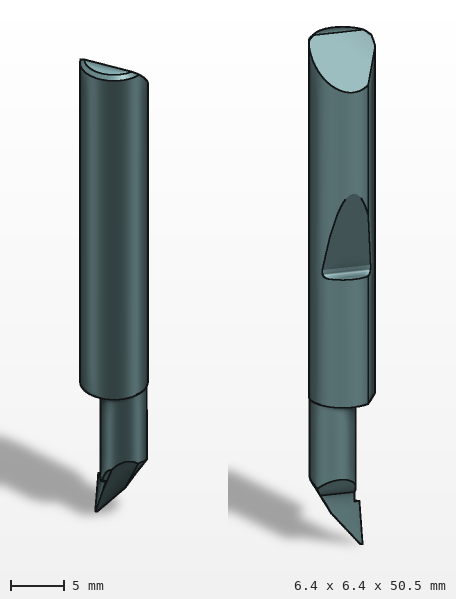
import cadquery as cq
import math

total_length = 50.45
shank_radius = 3.2
shank_bottom = 14.85
top_chamfer = 0.4
neck_radius = 2.15
neck_x = shank_radius - neck_radius

bevel_start_y = -1.25

flat_angle = 150.0
flat_distance = shank_radius * math.cos(math.radians(30))

notch_bottom = 27.5
notch_top = 35.95
notch_floor_y = 1.8
notch_floor_z = 28.25
notch_fillet = 0.5

tip_top = 4.3
tip_left = -2.0
ramp_start = 1.15
rake_relief_z = 5.25
edge_start_x = -1.7
edge_slope = 1.184
edge_clearance = 1.64
heel_x = 1.15
heel_slope = 1.73
heel_clearance = 0.6
back_offset = 0.2
back_slope = 0.3
side_left_x = -1.95
side_slope = 0.073
side_clearance = 0.94

cutter_size = 3 * shank_radius
cutter_depth = 2 * total_length


def beyond(point, normal):
    """Large block filling the side of a plane that its outward normal points to."""
    plane = cq.Plane(origin=point, normal=normal)
    return cq.Workplane(plane).rect(cutter_depth, cutter_depth).extrude(cutter_depth)


def make_shank():
    length = total_length - shank_bottom
    shank = cq.Workplane("XY", origin=(0, 0, shank_bottom)).circle(shank_radius).extrude(length)
    shank = shank.faces(">Z").chamfer(top_chamfer)

    shank = shank.cut(beyond((0, bevel_start_y, total_length), (0, 1, 1)))

    normal_x = math.cos(math.radians(flat_angle))
    normal_y = math.sin(math.radians(flat_angle))
    flat_point = (flat_distance * normal_x, flat_distance * normal_y, 0)
    shank = shank.cut(beyond(flat_point, (normal_x, normal_y, 0)))

    run_out = (notch_top - notch_floor_z) / (shank_radius - notch_floor_y)
    outer_y = 2 * shank_radius
    notch = (
        cq.Workplane("YZ")
        .moveTo(outer_y, notch_bottom)
        .lineTo(notch_floor_y, notch_bottom)
        .lineTo(notch_floor_y, notch_floor_z)
        .lineTo(outer_y, notch_floor_z + run_out * (outer_y - notch_floor_y))
        .close()
        .extrude(cutter_size, both=True)
    )
    notch = notch.edges("|X and <Y and <Z").fillet(notch_fillet)
    return shank.cut(notch)


def make_neck_and_tip():
    neck = cq.Workplane("XY", origin=(neck_x, 0, tip_top)).circle(neck_radius)
    neck = neck.extrude(shank_bottom - tip_top)

    rake = (
        cq.Workplane("YZ")
        .polyline([
            (0, 0),
            (0, rake_relief_z),
            (cutter_size, rake_relief_z + cutter_size),
            (cutter_size, 0),
        ])
        .close()
        .extrude(cutter_size, both=True)
    )
    neck = neck.cut(rake)

    tip_width = shank_radius - tip_left
    ramp_z = tip_top + neck_radius - ramp_start
    tip = (
        cq.Workplane("YZ", origin=(tip_left, 0, 0))
        .polyline([
            (0, 0),
            (0, tip_top),
            (-ramp_start, tip_top),
            (-neck_radius, ramp_z),
            (-neck_radius, 0),
        ])
        .close()
        .extrude(tip_width)
    )
    neck = neck.cut(tip)
    tip = tip.cut(beyond((side_left_x, 0, 0), (-1, -side_clearance, side_slope)))

    body = neck.union(tip)
    body = body.cut(beyond((edge_start_x, 0, 0), (edge_slope, -edge_clearance, -1)))
    heel_z = edge_slope * (heel_x - edge_start_x)
    body = body.cut(beyond((heel_x, 0, heel_z), (heel_slope, -heel_clearance, -1)))
    body = body.cut(beyond((heel_x, 0, heel_z), (heel_slope, 0, -1)))
    return body.cut(beyond((0, -back_offset, 0), (0, -1, -back_slope)))


result = make_shank().union(make_neck_and_tip())